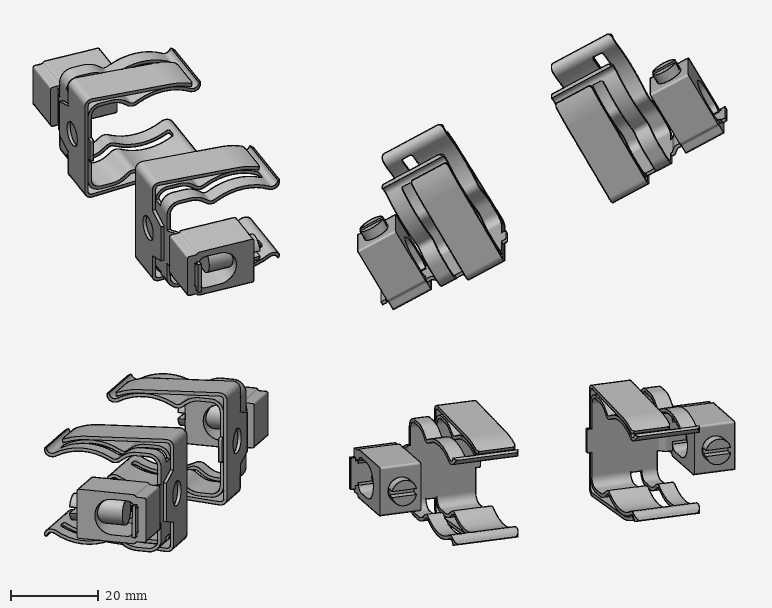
import cadquery as cq
import math


sheet = 0.8
clip_right = -14.3
clip_left = -23.8
clip_half_height = 13.49
clip_bend_radius = 1.7
clip_lean = 3.5
clip_lead_start = 21.4
clip_lead_radius = 15.9
clip_lead_turn = 21.5
clip_corner_radius = 0.9
tongue_left = -28.7
tongue_root_half = 6.3
tongue_tip_half = 4.6
rivet_hole_x = -21.4
rivet_hole_radius = 2.9

contact_left = -30.35
contact_half_height = 11.8
shoulder_radius = 3.1
shoulder_end = 6.6
dip_angle = 36.0
dip_radius = 5.6
dip_length = 1.4
pinch_radius = 1.7
rise_angle = 26.5
rise_length = 0.6
arch_radius = 13.9
arch_turn = 56.0
curl_radius = 1.7
curl_turn = 90.0
tip_length = 0.5
tip_corner_radius = 1.1
arm_slot_left = -26.5
arm_slot_right = clip_left
arm_slot_end = 26.5
arm_slot_corner = 0.5
arm_slot_base = 9.0
end_tab_length = 1.2
end_tab_half = 2.9
end_tab_corner = 0.4

tail_half = 4.6
tail_offset = 1.1
joggle_start = 0.45
joggle_angle = 40.0
joggle_radius = 0.45
stem_half = 3.0
head_half = 3.8
head_length = 1.2
tail_end = -45.4

block_left = -43.6
block_right = -33.6
block_depth = 16.7
block_half = 5.9
block_edge_radius = 0.5
foot_half = 5.4
foot_depth = 2.0
shoulder_depth = 3.1
wire_hole_half = 4.3
wire_hole_top = 12.4
wire_hole_corner = 1.9
screw_radius = 3.1
screw_tip = 6.4
screw_head = 19.2
screw_slot_width = 1.45
screw_slot_depth = 1.9

contact_middle = 1.5 * sheet
tail_front = sheet + tail_offset
tail_back = tail_front + sheet
screw_x = (block_left + block_right) / 2


def strip_profile(plane, start, heading, moves):
    """Sheet cross-section whose middle line follows tangent lines and arcs.

    A move is ("line", length) or ("arc", radius, turn), with turn positive to the left.
    """
    half = sheet / 2
    angle = math.radians(heading)
    position = start

    def edge_point(point, direction, side):
        return (point[0] - side * half * math.sin(direction), point[1] + side * half * math.cos(direction))

    left = [(None, edge_point(position, angle, 1))]
    right = [(None, edge_point(position, angle, -1))]
    for move in moves:
        if move[0] == "line":
            position = (position[0] + move[1] * math.cos(angle), position[1] + move[1] * math.sin(angle))
            middle = None
        else:
            turn = math.radians(move[2])
            sweep = math.copysign(move[1], turn)
            center = (position[0] - sweep * math.sin(angle), position[1] + sweep * math.cos(angle))
            middle_angle = angle + turn / 2
            middle = (center[0] + sweep * math.sin(middle_angle), center[1] - sweep * math.cos(middle_angle))
            angle += turn
            position = (center[0] + sweep * math.sin(angle), center[1] - sweep * math.cos(angle))
        for edge, side in ((left, 1), (right, -1)):
            edge_middle = edge_point(middle, middle_angle, side) if middle else None
            edge.append((edge_middle, edge_point(position, angle, side)))

    profile = cq.Workplane(plane).moveTo(*left[0][1])
    for middle, end in left[1:]:
        profile = profile.threePointArc(middle, end) if middle else profile.lineTo(*end)
    profile = profile.lineTo(*right[-1][1])
    for index in range(len(right) - 1, 0, -1):
        middle = right[index][0]
        end = right[index - 1][1]
        profile = profile.threePointArc(middle, end) if middle else profile.lineTo(*end)
    return profile.close()


def box_between(x_range, y_range, z_range):
    """Box between the given limits along X, Y and Z."""
    size = [limits[1] - limits[0] for limits in (x_range, y_range, z_range)]
    corner = (x_range[0], y_range[0], z_range[0])
    return cq.Workplane("XY").box(*size, centered=False).translate(corner)


def spring_arms(left, right, start_y, moves, corner_radius):
    """Upper and lower arm, each with its half of the base, with rounded end corners."""
    profile = strip_profile("YZ", (start_y, 0), 90, moves)
    arm = profile.extrude(right - left).translate((left, 0, 0))
    reach = arm.val().BoundingBox().ymax
    outline = box_between((left, right), (0, reach), (0, clip_half_height))
    arm = arm.intersect(outline.edges("|Z and >Y").fillet(corner_radius))
    return arm.union(arm.mirror("XY"))


def make_backing_clip():
    bend = clip_bend_radius - sheet / 2
    lean = math.radians(clip_lean)
    base_half = clip_half_height - clip_bend_radius
    bend_end = clip_bend_radius + clip_bend_radius * math.sin(lean)
    arm_length = (clip_lead_start - bend_end) / math.cos(lean)
    moves = [
        ("line", base_half),
        ("arc", bend, -90 - clip_lean),
        ("line", arm_length),
        ("arc", clip_lead_radius - sheet / 2, -clip_lead_turn),
    ]
    clip = spring_arms(clip_left, clip_right, sheet / 2, moves, clip_corner_radius)
    tongue = (
        cq.Workplane("XZ")
        .polyline([
            (clip_left, -tongue_root_half),
            (tongue_left, -tongue_tip_half),
            (tongue_left, tongue_tip_half),
            (clip_left, tongue_root_half),
        ])
        .close()
        .extrude(-sheet)
    )
    rivet_hole = cq.Workplane("XZ").center(rivet_hole_x, 0).circle(rivet_hole_radius).extrude(-sheet)
    return clip.union(tongue).cut(rivet_hole)


def make_contact_tail():
    """Joggled tail that ends in a T-shaped head beyond the terminal block."""
    joggle = math.radians(joggle_angle)
    slope_length = (tail_offset - 2 * joggle_radius * (1 - math.cos(joggle))) / math.sin(joggle)
    joggle_length = 2 * joggle_radius * math.sin(joggle) + slope_length * math.cos(joggle)
    moves = [
        ("line", joggle_start),
        ("arc", joggle_radius, -joggle_angle),
        ("line", slope_length),
        ("arc", joggle_radius, joggle_angle),
        ("line", contact_left - block_right - joggle_start - joggle_length),
    ]
    neck = strip_profile("XY", (contact_left, contact_middle), 180, moves)
    neck = neck.extrude(tail_half, both=True)
    thickness = (tail_front, tail_back)
    stem = box_between((tail_end, block_right), thickness, (-stem_half, stem_half))
    head = box_between((tail_end, tail_end + head_length), thickness, (-head_half, head_half))
    return neck.union(stem).union(head)


def make_contact():
    moves = [
        ("line", contact_half_height - shoulder_radius),
        ("arc", shoulder_radius - sheet / 2, -90),
        ("line", shoulder_end - sheet - shoulder_radius),
        ("arc", dip_radius, -dip_angle),
        ("line", dip_length),
        ("arc", pinch_radius, dip_angle + rise_angle),
        ("line", rise_length),
        ("arc", arch_radius, -arch_turn),
        ("arc", curl_radius, curl_turn),
        ("line", tip_length),
    ]
    contact = spring_arms(contact_left, clip_right, contact_middle, moves, tip_corner_radius)

    base_slot = box_between(
        (arm_slot_left, arm_slot_right), (0, arm_slot_end), (arm_slot_base, clip_half_height)
    )
    arm_slot = box_between((arm_slot_left, arm_slot_right), (2 * sheet, arm_slot_end), (0, clip_half_height))
    arm_slot = arm_slot.union(base_slot).edges("|Z and >Y").fillet(arm_slot_corner)
    contact = contact.cut(arm_slot).cut(arm_slot.mirror("XY"))

    end_tab = box_between(
        (clip_right, clip_right + end_tab_length), (sheet, 2 * sheet), (-end_tab_half, end_tab_half)
    )
    end_tab = end_tab.edges("|Y and >X").fillet(end_tab_corner)
    return contact.union(end_tab).union(make_contact_tail())


def screw_cylinder(start_y, end_y):
    """Cylinder on the screw axis between two Y positions."""
    plane = cq.Workplane("XZ", origin=(screw_x, start_y, 0))
    return plane.circle(screw_radius).extrude(start_y - end_y)


def make_terminal_block():
    width = (block_left, block_right)
    radius = block_edge_radius
    middle_depth = (foot_depth + shoulder_depth) / 2
    middle_half = (foot_half + block_half) / 2
    upper_half = (
        cq.Workplane("YZ", origin=(block_left, 0, 0))
        .lineTo(0, foot_half - radius)
        .radiusArc((radius, foot_half), radius)
        .lineTo(foot_depth, foot_half)
        .tangentArcPoint((middle_depth, middle_half), relative=False)
        .tangentArcPoint((shoulder_depth, block_half), relative=False)
        .lineTo(block_depth - radius, block_half)
        .radiusArc((block_depth, block_half - radius), radius)
        .lineTo(block_depth, 0)
        .close()
        .extrude(block_right - block_left)
    )
    block = upper_half.union(upper_half.mirror("XY"))

    opening_center = wire_hole_top - wire_hole_half
    lower = box_between(width, (tail_back, opening_center), (-wire_hole_half, wire_hole_half))
    lower = lower.edges("|X and <Y").fillet(wire_hole_corner)
    upper = (
        cq.Workplane("YZ", origin=(block_left, 0, 0))
        .center(opening_center, 0)
        .circle(wire_hole_half)
        .extrude(block_right - block_left)
    )
    tail_slot = box_between(width, (tail_front, tail_back), (-stem_half, stem_half))
    screw_hole = screw_cylinder(opening_center, block_depth)
    return block.cut(lower.union(upper)).cut(tail_slot).cut(screw_hole)


def make_clamp_screw():
    driver_slot = box_between(
        (screw_x - screw_radius, screw_x + screw_radius),
        (screw_head - screw_slot_depth, screw_head),
        (-screw_slot_width / 2, screw_slot_width / 2),
    )
    return screw_cylinder(screw_tip, screw_head).cut(driver_slot)


bodies = []
for make_body in (make_backing_clip, make_contact, make_terminal_block, make_clamp_screw):
    body = make_body()
    bodies.append(body.solids().val())
    bodies.append(body.mirror("YZ").solids().val())

result = cq.Compound.makeCompound(bodies)